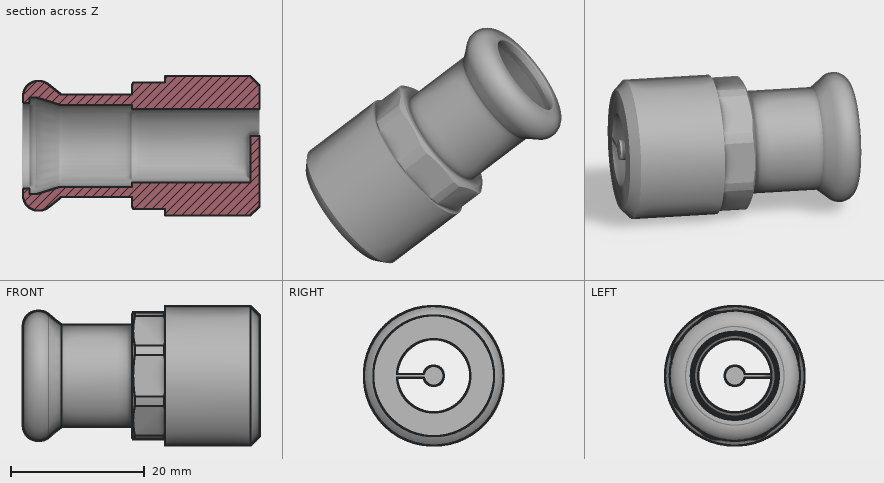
import cadquery as cq
import math

LENGTH = 35.5
BEAD_RUNOUT_X = 5.8
NUT_X = 16.33
COLLAR_X = 21.3
END_CHAMFER = 1.42

BEAD_ARC_RADIUS = 2.38
BEAD_CENTER_RADIUS = 7.4
TUBE_RADIUS = 7.7
COLLAR_RADIUS = 10.47

NUT_SIDES = 8
NUT_ACROSS_FLATS = 19.03
NUT_CORNER_RADIUS = 10.0
NUT_FACE_RADIUS = 9.1
NUT_CHAMFER_LENGTH = 0.45
NUT_BACK_CHAMFER = 0.15

MOUTH_RADIUS = 6.6
LIP_RADIUS = 6.4
LIP_CHAMFER_LENGTH = 0.1
LIP_END_X = 1.05
GROOVE_RADIUS = 7.2
GROOVE_END_X = 2.05
SOCKET_RADIUS = 6.1
TAPER_END_X = 5.57
SHOULDER_X = NUT_X
BORE_RADIUS = 5.45

DISC_RADIUS = 1.53
SPOKE_WIDTH = 0.6
DISC_THICKNESS = END_CHAMFER


def revolve_about_x(profile):
    return profile.close().revolve(360, (0, 0, 0), (1, 0, 0))


def bead_point(angle):
    """Point on the bead arc; angle is measured from the X axis."""
    return (
        BEAD_ARC_RADIUS * (1 + math.cos(angle)),
        BEAD_CENTER_RADIUS + BEAD_ARC_RADIUS * math.sin(angle),
    )


def make_body():
    """Beaded tube and collar, with the bead running out on a tangent cone."""
    run = BEAD_RUNOUT_X - BEAD_ARC_RADIUS
    rise = TUBE_RADIUS - BEAD_CENTER_RADIUS
    distance = math.hypot(run, rise)
    tangent_angle = math.atan2(rise, run) + math.acos(BEAD_ARC_RADIUS / distance)
    profile = (
        cq.Workplane("XY")
        .lineTo(0, BEAD_CENTER_RADIUS)
        .threePointArc(bead_point(math.pi / 2), bead_point(tangent_angle))
        .lineTo(BEAD_RUNOUT_X, TUBE_RADIUS)
        .lineTo(COLLAR_X, TUBE_RADIUS)
        .lineTo(COLLAR_X, COLLAR_RADIUS)
        .lineTo(LENGTH - END_CHAMFER, COLLAR_RADIUS)
        .lineTo(LENGTH, COLLAR_RADIUS - END_CHAMFER)
        .lineTo(LENGTH, 0)
    )
    return revolve_about_x(profile)


def make_nut():
    """Octagon with rounded corners and chamfered ends."""
    octagon = (
        cq.Workplane("YZ", origin=(NUT_X, 0, 0))
        .polygon(NUT_SIDES, NUT_ACROSS_FLATS, circumscribed=True)
        .extrude(COLLAR_X - NUT_X)
    )
    envelope = revolve_about_x(
        cq.Workplane("XY")
        .moveTo(NUT_X, 0)
        .lineTo(NUT_X, NUT_FACE_RADIUS)
        .lineTo(NUT_X + NUT_CHAMFER_LENGTH, NUT_CORNER_RADIUS)
        .lineTo(COLLAR_X - NUT_BACK_CHAMFER, NUT_CORNER_RADIUS)
        .lineTo(COLLAR_X, NUT_CORNER_RADIUS - NUT_BACK_CHAMFER)
        .lineTo(COLLAR_X, 0)
    )
    return octagon.intersect(envelope)


def make_bore():
    """Chamfered lip, undercut groove, tapered lead-in, socket and through bore."""
    profile = (
        cq.Workplane("XY")
        .lineTo(0, MOUTH_RADIUS)
        .lineTo(LIP_CHAMFER_LENGTH, LIP_RADIUS)
        .lineTo(LIP_END_X, LIP_RADIUS)
        .lineTo(LIP_END_X, GROOVE_RADIUS)
        .lineTo(GROOVE_END_X, GROOVE_RADIUS)
        .lineTo(TAPER_END_X, SOCKET_RADIUS)
        .lineTo(SHOULDER_X, SOCKET_RADIUS)
        .lineTo(SHOULDER_X, BORE_RADIUS)
        .lineTo(LENGTH, BORE_RADIUS)
        .lineTo(LENGTH, 0)
    )
    return revolve_about_x(profile)


def make_disc_and_spoke():
    """Disc on the axis, joined to the -Y side of the bore by one spoke."""
    plane = cq.Workplane("YZ", origin=(LENGTH - DISC_THICKNESS, 0, 0))
    disc = plane.circle(DISC_RADIUS).extrude(DISC_THICKNESS)
    spoke_length = (BORE_RADIUS + COLLAR_RADIUS - END_CHAMFER) / 2
    spoke = (
        plane.center(-spoke_length / 2, 0)
        .rect(spoke_length, SPOKE_WIDTH)
        .extrude(DISC_THICKNESS)
    )
    return disc.union(spoke)


result = make_body().union(make_nut()).cut(make_bore()).union(make_disc_and_spoke())